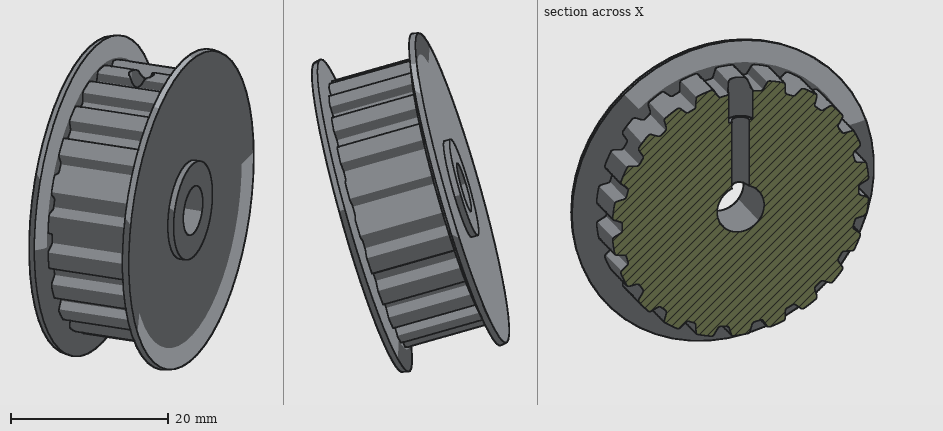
import cadquery as cq
import math

rim_radius = 20.65
overall_width = 14.25

tooth_count = 22
tip_radius = 17.6
belt_width = 10.98
groove_depth = 1.4
groove_floor_width = 1.3
groove_flank_angle = 25.0
root_fillet = 0.37
tip_fillet = 0.4

flange_thickness = 0.83
flange_bend_radius = 17.8
flange_bend_angle = 12.0

hub_radius = 6.35
bore_radius = 3.18
screw_entry_radius = 1.6
screw_hole_radius = 1.15
screw_entry_depth = 5.35

overcut = 0.4
tolerance = 0.005


def x_cylinder(radius, length):
    """Cylinder along X, centred on the origin."""
    return cq.Workplane("YZ").circle(radius).extrude(length / 2, both=True)


def is_tip_corner(edge):
    """True for an edge that lies on the tip cylinder."""
    centre = edge.Center()
    return math.hypot(centre.y, centre.z) > tip_radius - tolerance


def make_toothed_ring():
    """Ring with straight trapezoidal grooves, one of them facing +Y."""
    slope = math.tan(math.radians(groove_flank_angle))
    floor_radius = tip_radius - groove_depth
    cutter_top = tip_radius + overcut
    floor_half = groove_floor_width / 2
    top_half = floor_half + (cutter_top - floor_radius) * slope
    cutter = (
        cq.Workplane("YZ")
        .moveTo(floor_radius, -floor_half)
        .lineTo(cutter_top, -top_half)
        .lineTo(cutter_top, top_half)
        .lineTo(floor_radius, floor_half)
        .close()
        .extrude(belt_width / 2, both=True)
        .edges("|X and <Y")
        .fillet(root_fillet)
    )
    ring = x_cylinder(tip_radius, belt_width)
    for index in range(tooth_count):
        angle = index * 360 / tooth_count
        ring = ring.cut(cutter.rotate((0, 0, 0), (1, 0, 0), angle))

    tip_corners = ring.edges("|X").filter(is_tip_corner)
    return tip_corners.fillet(tip_fillet)


def make_flange():
    """Flange on the +X side of the teeth."""
    bend = math.radians(flange_bend_angle)
    inner_x = belt_width / 2
    outer_x = inner_x + flange_thickness
    inner_bend_radius = flange_bend_radius + flange_thickness * math.tan(bend / 2)
    inner_rim_x = inner_x + (rim_radius - inner_bend_radius) * math.tan(bend)
    outer_rim_x = inner_rim_x + flange_thickness * math.cos(bend)
    outer_rim_radius = rim_radius - flange_thickness * math.sin(bend)
    return (
        cq.Workplane("XY")
        .moveTo(inner_x, 0)
        .lineTo(inner_x, inner_bend_radius)
        .lineTo(inner_rim_x, rim_radius)
        .lineTo(outer_rim_x, outer_rim_radius)
        .lineTo(outer_x, flange_bend_radius)
        .lineTo(outer_x, 0)
        .close()
        .revolve(360, (0, 0, 0), (1, 0, 0))
    )


def make_screw_hole():
    """Stepped radial hole from the top of the teeth down into the bore."""
    hole = cq.Workplane("XY").circle(screw_hole_radius).extrude(tip_radius + overcut)
    entry = (
        cq.Workplane("XY")
        .workplane(offset=tip_radius - screw_entry_depth)
        .circle(screw_entry_radius)
        .extrude(screw_entry_depth + overcut)
    )
    return hole.union(entry)


flange = make_flange()
result = (
    make_toothed_ring()
    .union(flange)
    .union(flange.mirror("YZ"))
    .union(x_cylinder(hub_radius, overall_width))
    .cut(x_cylinder(bore_radius, overall_width + 2 * overcut))
    .cut(make_screw_hole())
)